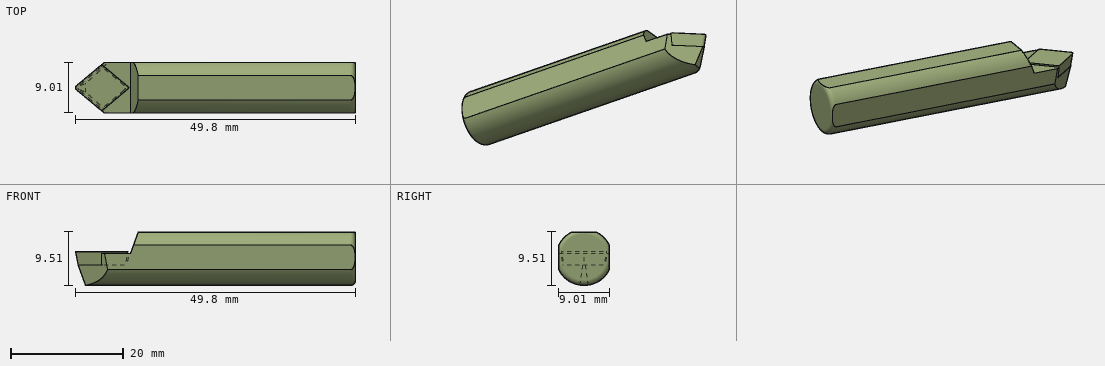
import cadquery as cq
import math

LENGTH = 49.8
BAR_RADIUS = 5.005
FLAT_OFFSET = 4.505
END_ROUNDING = 0.9

POINT_HALF_ANGLE = math.radians(40)
FLANK_CLEARANCE = 7.0
INSERT_SPAN = 9.3
CORNER_RADIUS = 0.5
INSERT_TOP = 1.0
INSERT_THICKNESS = 2.4

SEAT_TOP = 0.7
STEP_X = 9.75
STEP_LEAN = math.radians(20)
NOSE_RELIEF = math.radians(20)

insert_base = INSERT_TOP - INSERT_THICKNESS
center_x = INSERT_SPAN / 2
sharp_reach = center_x + CORNER_RADIUS * (1 / math.sin(POINT_HALF_ANGLE) - 1)
sharp_half_width = sharp_reach * math.tan(POINT_HALF_ANGLE)
point_recession = math.tan(math.radians(FLANK_CLEARANCE)) / math.sin(POINT_HALF_ANGLE)
nose_base_x = INSERT_THICKNESS * point_recession
margin = 2.5


def sharp_insert():
    """Tapered rhombic plate with sharp corners; it is also the shape of the pocket."""
    return (
        cq.Workplane("XY", origin=(center_x, 0, INSERT_TOP))
        .polyline([(-sharp_reach, 0), (0, -sharp_half_width), (sharp_reach, 0), (0, sharp_half_width)])
        .close()
        .extrude(-INSERT_THICKNESS, taper=FLANK_CLEARANCE)
    )


def make_insert():
    return sharp_insert().edges("not #Z").fillet(CORNER_RADIUS)


def flatted_bar():
    """Round bar with a rounded rear end and three flats."""
    bar = cq.Workplane("YZ").circle(BAR_RADIUS).extrude(LENGTH).faces(">X").edges().fillet(END_ROUNDING)
    height = BAR_RADIUS + FLAT_OFFSET
    envelope = cq.Workplane("XY").box(LENGTH, 2 * FLAT_OFFSET, height, centered=(False, True, False))
    return bar.intersect(envelope.translate((0, 0, -BAR_RADIUS)))


def side_profile():
    """Side outline: relieved nose, flat seat and leaning step up to the full bar."""
    bottom = -BAR_RADIUS - margin
    top = FLAT_OFFSET + margin

    def relief_x(z):
        return nose_base_x + (insert_base - z) * math.tan(NOSE_RELIEF)

    return (
        cq.Workplane("XZ")
        .polyline([
            (relief_x(bottom), bottom),
            (LENGTH + margin, bottom),
            (LENGTH + margin, top),
            (STEP_X + (top - SEAT_TOP) * math.tan(STEP_LEAN), top),
            (STEP_X, SEAT_TOP),
            (relief_x(SEAT_TOP), SEAT_TOP),
        ])
        .close()
        .extrude(BAR_RADIUS, both=True)
    )


def flank_wedge():
    """Pointed prism whose leaning faces continue the two front flanks of the insert."""
    rear_x = LENGTH + margin

    def section(z):
        point_x = center_x - sharp_reach + (INSERT_TOP - z) * point_recession
        half_width = (rear_x - point_x) * math.tan(POINT_HALF_ANGLE)
        corners = [(point_x, 0), (rear_x, -half_width), (rear_x, half_width)]
        return cq.Wire.makePolygon([cq.Vector(x, y, z) for x, y in corners], close=True)

    return cq.Workplane(cq.Solid.makeLoft([section(-BAR_RADIUS), section(FLAT_OFFSET)], True))


def make_shank():
    return flatted_bar().intersect(side_profile()).intersect(flank_wedge()).cut(sharp_insert())


insert = make_insert()
shank = make_shank()
result = cq.Compound.makeCompound([shank.solids().val(), insert.solids().val()])